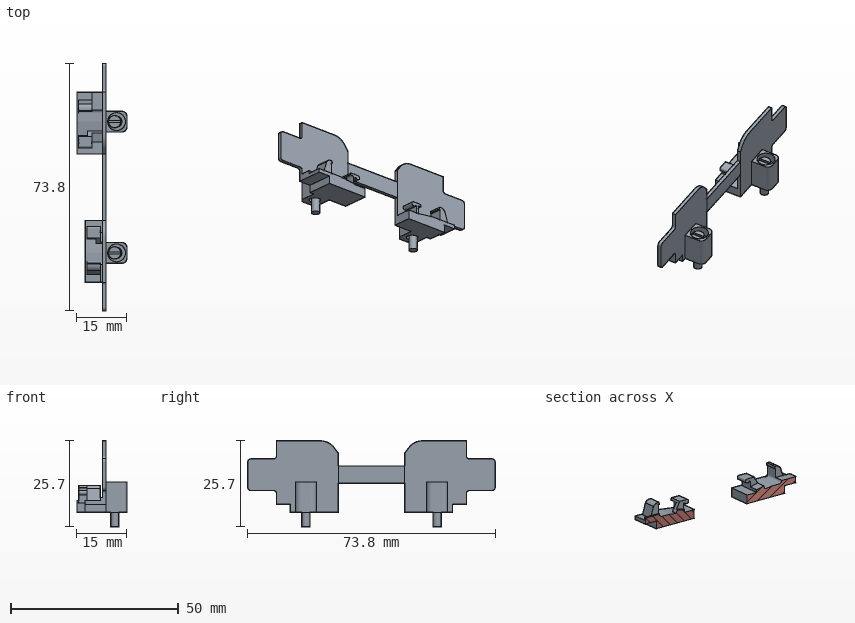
import cadquery as cq
import math


total_length = 73.8
plate_thickness = 1.1
plate_top = 21.4
inner_end = 9.9
outer_end = 28.35
shoulder_radius = 5.25
shoulder_start = 15.3
shoulder_stop = 11.1

tab_bottom = 6.5
tab_top = 16.0
tab_corner_radius = 1.0
tab_root_radius = 0.8

bar_bottom = 8.7
bar_top = 13.9

deep_shelf = 7.6
shallow_shelf = 5.1
shelf_high = 3.6
shelf_low = 2.9
ramp_start = 19.5
step_start = 24.2
step_height = 2.4

clip_margin = 0.5
clip_width = 4.0

hook_face = 22.95
hook_base = 26.0
hook_top = 8.05
hook_flank_y = 24.9
hook_flank_z = 7.15
hook_crest = 23.25
hook_neck = 22.8
hook_tip = 22.6
hook_tip_z = 7.4
hook_under_z = 7.2
foot_radius = 0.9

stem_inner = 13.5
stem_thickness = 0.7
head_top = 6.5
head_thickness = 0.7
nose_radius = 0.7
nose_center = 12.3
nose_back = 13.0
notch_top = 5.5
pocket_radius = 0.4
head_edge = 15.05
flank_top = 15.35
flank_foot = 16.8
gusset_setback = 2.7
ridge_peak_y = 16.2
ridge_end_z = 3.7

block_size = 6.3
block_height = 9.15
block_center_y = 19.55
block_radius = 1.6
counterbore_radius = 2.65
counterbore_depth = 2.95
bore_radius = 1.7
bore_offset = 0.4

screw_x = 3.7
screw_radius = 1.25
screw_drop = 4.3
screw_head_radius = 1.85
screw_head_height = 1.85
slot_width = 0.7
slot_depth = 0.75

tab_end = total_length / 2
block_center_x = plate_thickness + block_size / 2
counterbore_floor = block_height - counterbore_depth
rail_height = shelf_high + foot_radius
stem_outer = stem_inner + stem_thickness
head_under = head_top - head_thickness
nose_bottom = head_top - 2 * nose_radius
notch_radius = (stem_inner - nose_back) / 2
ramp_slope = (shelf_high - shelf_low) / (ramp_start - stem_inner)


def ramp_z(y):
    """Height of the sloping part of the shelf."""
    return shelf_low + ramp_slope * (y - stem_inner)


def flank_z(y):
    """Height of the sloping flank of the gusset, from its foot to the underside of the clip head."""
    foot_z = ramp_z(flank_foot)
    return foot_z + (head_under - foot_z) * (flank_foot - y) / (flank_foot - flank_top)


def profile_at(x):
    """Sketch plane with Y to the right and Z up, extruding toward +X."""
    return cq.Workplane("YZ", origin=(x, 0, 0))


def make_plate():
    sweep = math.asin((shoulder_start - shoulder_stop) / shoulder_radius)
    arc_end_z = plate_top - shoulder_radius * (1 - math.cos(sweep))
    slope_end_z = arc_end_z - (shoulder_stop - inner_end) * math.tan(sweep)
    body = (
        profile_at(0)
        .moveTo(inner_end, 0)
        .lineTo(step_start, 0)
        .lineTo(step_start, step_height)
        .lineTo(outer_end, step_height)
        .lineTo(outer_end, tab_bottom)
        .lineTo(tab_end, tab_bottom)
        .lineTo(tab_end, tab_top)
        .lineTo(outer_end, tab_top)
        .lineTo(outer_end, plate_top)
        .lineTo(shoulder_start, plate_top)
        .tangentArcPoint((shoulder_stop, arc_end_z), relative=False)
        .lineTo(inner_end, slope_end_z)
        .close()
        .extrude(plate_thickness)
    )
    for y, radius in ((outer_end, tab_root_radius), (tab_end, tab_corner_radius)):
        for z in (tab_bottom, tab_top):
            corner_edge = cq.selectors.NearestToPointSelector((plate_thickness / 2, y, z))
            body = body.edges("|X").edges(corner_edge).fillet(radius)
    return body


def make_shelf(depth):
    return (
        profile_at(-depth)
        .moveTo(inner_end, 0)
        .lineTo(step_start, 0)
        .lineTo(step_start, step_height)
        .lineTo(outer_end, step_height)
        .lineTo(outer_end, shelf_high)
        .lineTo(ramp_start, shelf_high)
        .lineTo(stem_inner, shelf_low)
        .lineTo(inner_end, shelf_low)
        .close()
        .extrude(depth)
    )


def start_at_foot(x):
    """Begin a profile at the shelf and run up the concave foot to the hook face."""
    foot_y = hook_face - foot_radius
    return (
        profile_at(x)
        .moveTo(foot_y, step_height)
        .lineTo(foot_y, shelf_high)
        .radiusArc((hook_face, shelf_high + foot_radius), -foot_radius)
    )


def make_hook(clip_x):
    return (
        start_at_foot(clip_x)
        .lineTo(hook_face, hook_under_z)
        .lineTo(hook_tip, hook_tip_z)
        .lineTo(hook_neck, hook_top)
        .lineTo(hook_crest, hook_top)
        .tangentArcPoint((hook_flank_y, hook_flank_z), relative=False)
        .lineTo(hook_base, shelf_high)
        .lineTo(hook_base, step_height)
        .close()
        .extrude(clip_width)
    )


def make_rail(rail_x):
    """Low rail that fills the gap between the hook and the plate."""
    return (
        start_at_foot(rail_x)
        .lineTo(outer_end, rail_height)
        .lineTo(outer_end, step_height)
        .close()
        .extrude(-rail_x)
    )


def make_t_clip(clip_x):
    head_and_stem = (
        profile_at(clip_x)
        .moveTo(stem_inner, step_height)
        .lineTo(stem_inner, notch_top - notch_radius)
        .threePointArc((nose_back + notch_radius, notch_top), (nose_back, notch_top - notch_radius))
        .lineTo(nose_back, nose_bottom)
        .lineTo(nose_center, nose_bottom)
        .threePointArc((nose_center - nose_radius, head_top - nose_radius), (nose_center, head_top))
        .lineTo(head_edge, head_top)
        .lineTo(flank_top, head_under)
        .lineTo(stem_outer + pocket_radius, head_under)
        .radiusArc((stem_outer, head_under - pocket_radius), -pocket_radius)
        .lineTo(stem_outer, ramp_z(stem_outer) + pocket_radius)
        .radiusArc((stem_outer + pocket_radius, ramp_z(stem_outer + pocket_radius)), -pocket_radius)
        .lineTo(stem_outer + pocket_radius, step_height)
        .close()
        .extrude(clip_width)
    )
    gusset = (
        profile_at(clip_x + gusset_setback)
        .moveTo(stem_inner, step_height)
        .lineTo(flank_foot, step_height)
        .lineTo(flank_foot, ramp_z(flank_foot))
        .lineTo(flank_top, head_under)
        .lineTo(stem_inner, head_under)
        .close()
        .extrude(clip_width - gusset_setback)
    )
    return head_and_stem.union(gusset)


def make_ridge(ridge_x):
    """Low ridge that ties the T-shaped clip to the plate."""
    return (
        profile_at(ridge_x)
        .moveTo(stem_inner, step_height)
        .lineTo(flank_foot, step_height)
        .lineTo(flank_foot, ramp_z(flank_foot))
        .lineTo(ridge_peak_y, flank_z(ridge_peak_y))
        .lineTo(stem_inner, ridge_end_z)
        .close()
        .extrude(-ridge_x)
    )


def make_screw_block():
    block = (
        cq.Workplane("XY")
        .center(block_center_x, block_center_y)
        .rect(block_size, block_size)
        .extrude(block_height)
        .edges("|Z and >X")
        .fillet(block_radius)
    )
    counterbore = (
        cq.Workplane("XY", origin=(block_center_x, block_center_y, counterbore_floor))
        .circle(counterbore_radius)
        .extrude(counterbore_depth)
    )
    bore = (
        cq.Workplane("XY", origin=(screw_x + bore_offset, block_center_y, 0))
        .circle(bore_radius)
        .extrude(block_height)
    )
    return block.cut(counterbore).cut(bore)


def make_bracket(shelf_depth):
    clip_x = clip_margin - shelf_depth
    filler_x = clip_x + clip_width
    return (
        make_plate()
        .union(make_shelf(shelf_depth))
        .union(make_hook(clip_x))
        .union(make_rail(filler_x))
        .union(make_t_clip(clip_x))
        .union(make_ridge(filler_x))
        .union(make_screw_block())
        .clean()
    )


def make_screw(y):
    """Slotted screw whose head rests on the counterbore floor."""
    shank = (
        cq.Workplane("XY", origin=(screw_x, y, -screw_drop))
        .circle(screw_radius)
        .extrude(screw_drop + counterbore_floor)
    )
    head = (
        cq.Workplane("XY", origin=(screw_x, y, counterbore_floor))
        .circle(screw_head_radius)
        .extrude(screw_head_height)
    )
    slot = (
        cq.Workplane("XY", origin=(screw_x, y, counterbore_floor + screw_head_height - slot_depth))
        .rect(2 * screw_head_radius, slot_width)
        .extrude(slot_depth)
    )
    return shank.union(head).cut(slot)


def make_bar():
    return (
        profile_at(0)
        .moveTo(0, (bar_bottom + bar_top) / 2)
        .rect(2 * inner_end, bar_top - bar_bottom)
        .extrude(plate_thickness)
    )


deep_bracket = make_bracket(deep_shelf)
shallow_bracket = make_bracket(shallow_shelf).mirror("XZ")
bar = make_bar()
screws = [make_screw(side * block_center_y) for side in (1, -1)]

result = cq.Compound.makeCompound(
    [
        deep_bracket.val(),
        shallow_bracket.val(),
        bar.val(),
        *[screw.val() for screw in screws],
    ]
)